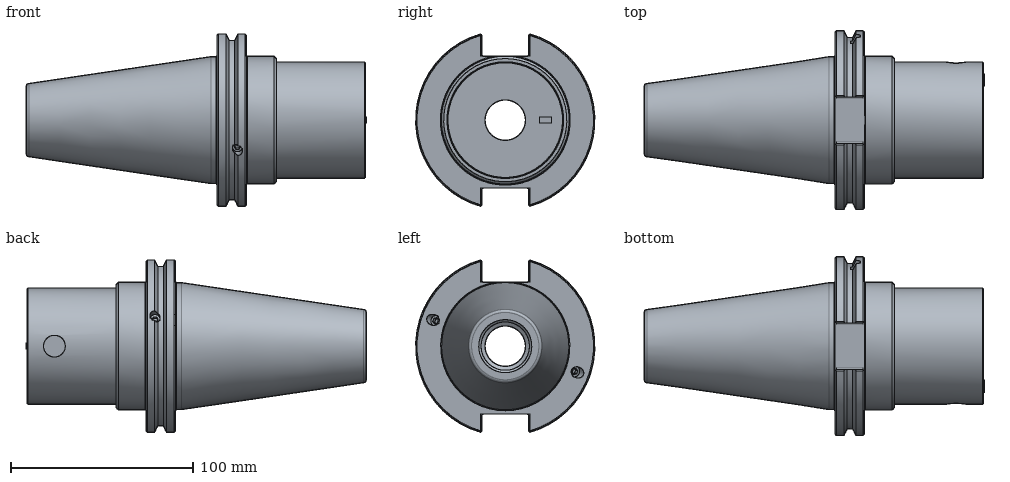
import cadquery as cq
import math


nose_radius = 20.2
nose_round = 1.7
gauge_radius = 34.9
taper_length = 101.5

flange_start = 104.7
flange_width = 16.0
flange_end = flange_start + flange_width
flange_radius = 49.17
flange_bevel = 0.7
flange_root_round = 0.5
groove_center = 112.9
groove_width = 6.7
groove_floor_width = 3.0
groove_floor_radius = 45.5

collar_end = 137.3
collar_radius = 35.0
collar_bevel = 1.3
barrel_end = 186.0
barrel_radius = 32.0
barrel_bevel = 0.5

bore_radius = 11.0
pilot_radius = 13.2
pilot_depth = 6.2
pilot_bevel = 1.3
countersink_length = 1.3

slot_width = 25.5
slot_floor_heights = {1: 35.0, -1: 37.3}
slot_floor_round = 0.7
slot_bevel = 0.7

plug_plane_angle = 20
plug_sides = (0, 180)
socket_depth = 2.2
face_plug_radius = 3.0
face_plug_length = 4.7
face_plug_tilt = 32
face_plug_recess = 2.8
face_hole_offset = 42.2
rim_plug_radius = 2.8
rim_plug_length = 3.7
rim_plug_top = 43.0
rim_plug_x = 115.9
socket_ratio = 0.6

side_screw_x = 171.1
side_screw_radius = 6.0
side_screw_top = 31.0
side_screw_length = 11.2

key_length = 6.7
key_width = 3.4
key_height = 0.5
key_seat_depth = 1.3
key_offset = 22.0


def make_turned_blank():
    """Revolve the outer outline, including nose round and V-groove, about X."""
    arc_inset = 1 - math.sqrt(0.5)
    nose_middle = nose_round * arc_inset
    root_middle = flange_root_round * arc_inset
    profile = (
        cq.Workplane("XZ")
        .lineTo(0, nose_radius - nose_round)
        .threePointArc((nose_middle, nose_radius - nose_middle), (nose_round, nose_radius))
        .lineTo(taper_length, gauge_radius)
        .lineTo(flange_start - flange_root_round, gauge_radius)
        .threePointArc(
            (flange_start - root_middle, gauge_radius + root_middle),
            (flange_start, gauge_radius + flange_root_round),
        )
        .lineTo(flange_start, flange_radius - flange_bevel)
        .lineTo(flange_start + flange_bevel, flange_radius)
        .lineTo(groove_center - groove_width / 2, flange_radius)
        .lineTo(groove_center - groove_floor_width / 2, groove_floor_radius)
        .lineTo(groove_center + groove_floor_width / 2, groove_floor_radius)
        .lineTo(groove_center + groove_width / 2, flange_radius)
        .lineTo(flange_end - flange_bevel, flange_radius)
        .lineTo(flange_end, flange_radius - flange_bevel)
        .lineTo(flange_end, collar_radius + flange_root_round)
        .threePointArc(
            (flange_end + root_middle, collar_radius + root_middle),
            (flange_end + flange_root_round, collar_radius),
        )
        .lineTo(collar_end - collar_bevel, collar_radius)
        .lineTo(collar_end, collar_radius - collar_bevel)
        .lineTo(collar_end, barrel_radius)
        .lineTo(barrel_end - barrel_bevel, barrel_radius)
        .lineTo(barrel_end, barrel_radius - barrel_bevel)
        .lineTo(barrel_end, 0)
        .close()
    )
    return profile.revolve(360, (0, 0, 0), (1, 0, 0))


def make_bore():
    """Through bore with a bevelled pilot and a countersink at the nose."""
    profile = (
        cq.Workplane("XZ")
        .lineTo(0, pilot_radius + pilot_bevel)
        .lineTo(pilot_bevel, pilot_radius)
        .lineTo(pilot_depth, pilot_radius)
        .lineTo(pilot_depth + countersink_length, bore_radius)
        .lineTo(barrel_end, bore_radius)
        .lineTo(barrel_end, 0)
        .close()
    )
    return profile.revolve(360, (0, 0, 0), (1, 0, 0))


def make_drive_slot(side):
    """Slot across the flange rim on the +Z (side 1) or -Z (side -1) half.

    It clears the root rounds at both flange faces and has bevelled mouths.
    """
    floor = slot_floor_heights[side]
    half_width = slot_width / 2
    mouth_half_width = half_width + slot_bevel
    mouth_height = math.sqrt(flange_radius**2 - mouth_half_width**2)
    height = flange_radius - floor
    slot_length = flange_width + 2 * flange_root_round
    slot = (
        cq.Workplane("XY")
        .box(slot_length, slot_width, height, centered=(False, True, False))
        .edges("|X and <Z")
        .fillet(slot_floor_round)
        .translate((flange_start - flange_root_round, 0, floor))
    )
    rim_flare = (
        cq.Workplane("YZ", origin=(flange_start, 0, 0))
        .moveTo(-half_width, mouth_height - slot_bevel)
        .lineTo(half_width, mouth_height - slot_bevel)
        .lineTo(mouth_half_width + slot_bevel, mouth_height + slot_bevel)
        .lineTo(-mouth_half_width - slot_bevel, mouth_height + slot_bevel)
        .close()
        .extrude(flange_width)
    )
    slot = slot.union(rim_flare)
    for face_x, inward in ((flange_start, 1), (flange_end, -1)):
        face_flare = (
            cq.Workplane("XY", origin=(0, 0, floor))
            .moveTo(face_x, -mouth_half_width)
            .lineTo(face_x, mouth_half_width)
            .lineTo(face_x + inward * slot_bevel, half_width)
            .lineTo(face_x + inward * slot_bevel, -half_width)
            .close()
            .extrude(height)
        )
        slot = slot.union(face_flare)
    if side < 0:
        slot = slot.mirror("XY")
    return slot


def face_plug_plane():
    """Mouth of a tilted plug hole on the front flange face, normal pointing into the metal."""
    tilt = math.radians(face_plug_tilt)
    return cq.Plane(
        origin=(flange_start, face_hole_offset, 0),
        xDir=(0, 0, 1),
        normal=(math.cos(tilt), -math.sin(tilt), 0),
    )


def rim_plug_plane():
    """Top of a radial plug hole in the flange rim, normal pointing towards the axis."""
    return cq.Plane(origin=(rim_plug_x, flange_radius, 0), xDir=(1, 0, 0), normal=(0, -1, 0))


def turn_to_plug_plane(shape, side):
    return shape.rotate((0, 0, 0), (1, 0, 0), plug_plane_angle + side)


def make_hole(plane, radius, above, depth):
    """Cylinder reaching from `above` outside the plane to `depth` inside it."""
    return cq.Workplane(plane).workplane(offset=-above).circle(radius).extrude(above + depth)


def make_plug(plane, radius, length, recess):
    """Headless screw with a hexagon socket, sunk by `recess` below the plane."""
    blank = cq.Workplane(plane).workplane(offset=recess).circle(radius).extrude(length)
    socket = (
        cq.Workplane(plane)
        .workplane(offset=recess)
        .polygon(6, 2 * radius * socket_ratio)
        .extrude(socket_depth)
    )
    return blank.cut(socket)


def make_face_plug(side):
    plug = make_plug(face_plug_plane(), face_plug_radius, face_plug_length, face_plug_recess)
    return turn_to_plug_plane(plug, side)


def make_rim_plug(side):
    recess = flange_radius - rim_plug_top
    plug = make_plug(rim_plug_plane(), rim_plug_radius, rim_plug_length, recess)
    return turn_to_plug_plane(plug, side)


def make_plug_holes(side):
    """One tilted face hole and one radial rim hole."""
    face_depth = face_plug_recess + face_plug_length
    rim_depth = flange_radius - rim_plug_top + rim_plug_length
    face_hole = make_hole(face_plug_plane(), face_plug_radius, 2 * face_plug_radius, face_depth)
    rim_hole = make_hole(rim_plug_plane(), rim_plug_radius, rim_plug_radius, rim_depth)
    return turn_to_plug_plane(face_hole.union(rim_hole), side)


def make_side_cylinder(top):
    """Radial cylinder on the +Y side, from the bottom of the actuating screw up to `top`."""
    bottom = side_screw_top - side_screw_length
    plane = cq.Plane(origin=(side_screw_x, bottom, 0), xDir=(1, 0, 0), normal=(0, 1, 0))
    return cq.Workplane(plane).circle(side_screw_radius).extrude(top - bottom)


def make_end_key():
    return (
        cq.Workplane("YZ", origin=(barrel_end - key_seat_depth, key_offset, 0))
        .rect(key_length, key_width)
        .extrude(key_seat_depth + key_height)
    )


def make_housing(side_hole, key):
    body = make_turned_blank().cut(make_bore())
    for side in slot_floor_heights:
        body = body.cut(make_drive_slot(side))
    for side in plug_sides:
        body = body.cut(make_plug_holes(side))
    return body.cut(side_hole).cut(key)


side_screw = make_side_cylinder(side_screw_top)
end_key = make_end_key()
housing = make_housing(make_side_cylinder(barrel_radius), end_key)
face_plugs = [make_face_plug(side).val() for side in plug_sides]
rim_plugs = [make_rim_plug(side).val() for side in plug_sides]

result = cq.Compound.makeCompound(
    [housing.val(), *face_plugs, *rim_plugs, side_screw.val(), end_key.val()]
)